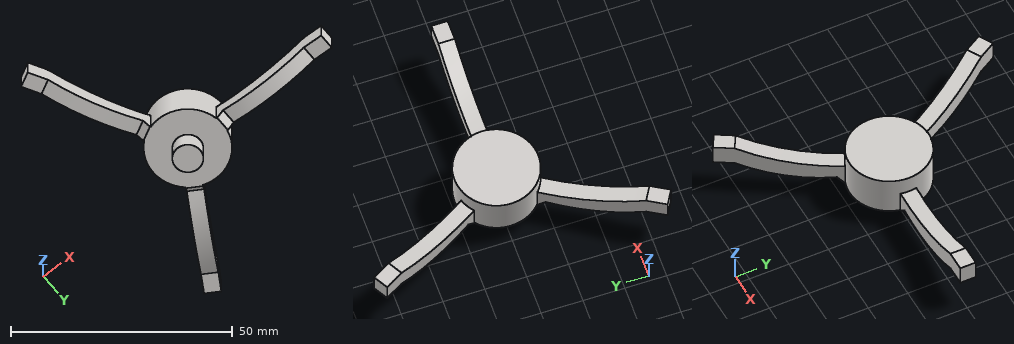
import cadquery as cq

hub_diameter = 20.0
hub_height = 10.0
pin_diameter = 7.0
pin_length = 5.0

arm_count = 3
arm_width = 4.0
arm_reach = 39.8
tip_length = 5.0
tip_height = 5.0
arm_offset = -0.1
root_top = 5.5
upper_sag_radius = 18.3
foot_size = 1.7
lower_sag_radius = 18.45
lower_sag_height = 1.2

hub_radius = hub_diameter / 2
root_embed = hub_radius / 2
bend_radius = arm_reach - tip_length


def make_arm():
    """Curved arm along +X, rising from the hub to a block flush with the hub's top."""
    return (
        cq.Workplane("XZ")
        .moveTo(root_embed, 0)
        .lineTo(root_embed, root_top)
        .lineTo(hub_radius, root_top)
        .threePointArc((upper_sag_radius, root_top), (bend_radius, hub_height))
        .lineTo(arm_reach, hub_height)
        .lineTo(arm_reach, hub_height - tip_height)
        .lineTo(bend_radius, hub_height - tip_height)
        .threePointArc((lower_sag_radius, lower_sag_height), (hub_radius + foot_size, foot_size))
        .lineTo(hub_radius, 0)
        .close()
        .extrude(arm_width / 2, both=True)
        .translate((0, arm_offset, 0))
    )


hub = cq.Workplane("XY").circle(hub_radius).extrude(hub_height)
pin = cq.Workplane("XY").circle(pin_diameter / 2).extrude(-pin_length)
result = hub.union(pin)

arm = make_arm()
for index in range(arm_count):
    angle = index * 360 / arm_count
    result = result.union(arm.rotate((0, 0, 0), (0, 0, 1), angle))